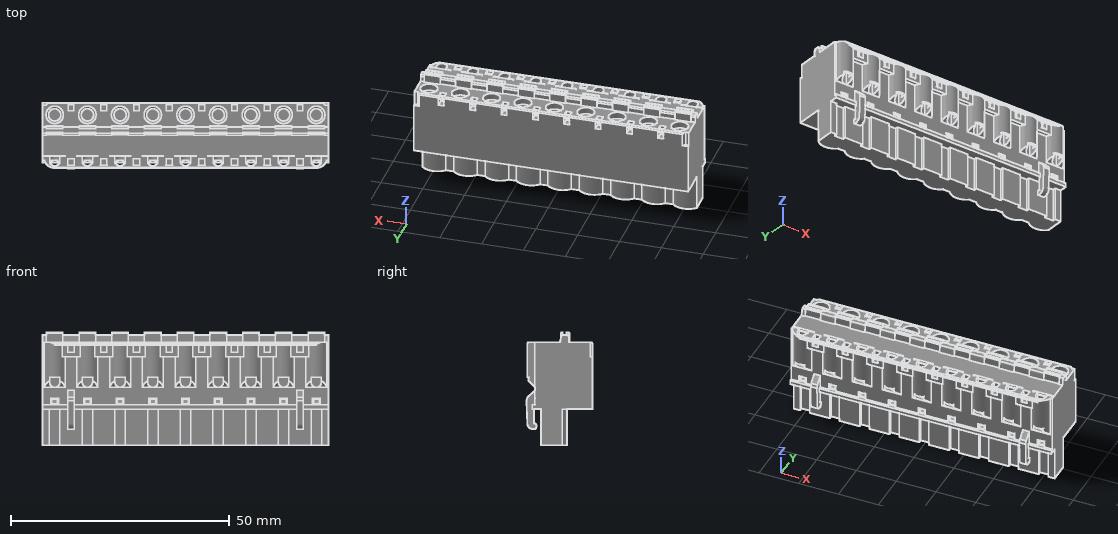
import cadquery as cq


LENGTH = 65.6
POLE_COUNT = 9
END_MARGIN = 2.8
PITCH = (LENGTH - 2 * END_MARGIN) / (POLE_COUNT - 1)
BODY_DEPTH = 13.25
BODY_BOTTOM = 8.3
BODY_TOP = 23.7

PLUG_BACK = 7.0
PLUG_FRONT = 11.9
SOCKET_BACK = 5.85
SOCKET_RADIUS = 3.95
KEYWAY_WIDTH = 2.4
KEYWAY_DEPTH = 0.8

RAIL_DEPTH = 0.6
RAIL_HEIGHT = 1.0

FRONT_DEPTH = 15.0
COLUMN_RADIUS = 2.5
COLUMN_BOTTOM = 13.3
LIP_BOTTOM = 22.95
EDGE_BEVEL_DEPTH = 0.2
EDGE_BEVEL_HEIGHT = 0.36
TAB_WIDTH = 4.45
TAB_BOTTOM = 20.35
TAB_SETBACK = 0.65

SLOT_WIDTH = 2.35
SLOT_BACK = 12.3
SLOT_END_DEPTH = 14.5
SLOT_MOUTH_TOP = 15.6
SLIT_LENGTH = 4.85
SLIT_WIDTH = 0.2
SLIT_DEPTH = 0.65

ENTRY_DIAMETER = 4.0
ENTRY_FLOOR_DIAMETER = 2.8
ENTRY_CENTER = 2.8
ENTRY_STRAIGHT_DEPTH = 1.65
ENTRY_TAPER_DEPTH = 1.3

POCKET_BOTTOM = 21.4
FRONT_POCKET_WIDTH = 1.45
FRONT_POCKET_START = 12.85
BACK_POCKET_WIDTH = 1.3
BACK_POCKET_START = 0.5
BACK_POCKET_SIZE = 1.3

RIDGE_TOP = 25.3
RIDGE_SHOULDER = 24.9
RIDGE_BACK = 5.5
RIDGE_FRONT = 7.55
RIDGE_BEVEL = 0.2
RIDGE_FRONT_SLOPE = 0.3
POST_TOP = 26.0
POST_WIDTH = 3.8
POST_BEVEL = 0.25
POST_BACK = 5.3
POST_FRONT = 7.35
POST_GROOVE_START = 6.05
POST_GROOVE_WIDTH = 0.8

TEST_WIDTH = 1.8
TEST_HEIGHT = 1.5
TEST_RIM = 0.25
TEST_RIM_DEPTH = 0.3

LATCH_WIDTH = 1.6
LATCH_DEPTH = 15.2
LATCH_SHOULDER_SETBACK = 0.25
LATCH_DRAFT = 0.2
TIP_BEND = 0.5
TIP_FLAT_START = 1.45
LATCH_THICKNESS = 1.8
TIP_FLAT_END = 2.05
HOOK_TOP_END = 2.1
HOOK_NOSE = 2.35
LATCH_ROOT_TOP = 12.6
LATCH_SHOULDER_TOP = 11.1
LATCH_SHOULDER_BOTTOM = 10.3
LATCH_TIP_START = 5.25
HOOK_TOP = 5.05
HOOK_NOSE_HEIGHT = 4.45
TIP_BEND_HEIGHT = 4.2
LATCH_TIP_BOTTOM = 3.75

NOTCH_LENGTH = 1.4
NOTCH_DEPTH = 0.6
NOTCH_BOTTOM = 20.35

POLES = [(i - (POLE_COUNT - 1) / 2) * PITCH for i in range(POLE_COUNT)]
GAPS = [x + PITCH / 2 for x in POLES[:-1]]
LATCHES = [GAPS[0], GAPS[-1]]


def block(x_center, width, depth_start, depth_end, bottom, top):
    """Box given by its X centre and width, its depths behind the back face and its heights."""
    size_y = depth_end - depth_start
    solid = cq.Workplane("XY").box(width, size_y, top - bottom, centered=(True, True, False))
    return solid.translate((x_center, -(depth_start + depth_end) / 2, bottom))


def side_prism(x_center, width, points):
    """Outline of (depth, height) points extruded along X."""
    outline = [(-depth, height) for depth, height in points]
    solid = cq.Workplane("YZ").polyline(outline).close().extrude(width / 2, both=True)
    return solid.translate((x_center, 0, 0))


def make_body():
    body = block(0, LENGTH, 0, BODY_DEPTH, BODY_BOTTOM, BODY_TOP)
    rail_front = BODY_DEPTH + RAIL_DEPTH
    return body.union(block(0, LENGTH, PLUG_FRONT, rail_front, BODY_BOTTOM, BODY_BOTTOM + RAIL_HEIGHT))


def make_plug():
    """Plug with a round-backed socket and a front keyway at each pole."""
    plug = block(0, LENGTH, PLUG_BACK, PLUG_FRONT, 0, BODY_BOTTOM)
    envelope = block(0, LENGTH, SOCKET_BACK, PLUG_FRONT, 0, BODY_BOTTOM)
    for x in POLES:
        socket = cq.Workplane("XY").circle(SOCKET_RADIUS).extrude(BODY_BOTTOM)
        socket = socket.translate((x, -SOCKET_BACK - SOCKET_RADIUS, 0))
        plug = plug.union(socket.intersect(envelope))
    for x in POLES:
        plug = plug.cut(block(x, KEYWAY_WIDTH, PLUG_FRONT - KEYWAY_DEPTH, PLUG_FRONT, 0, BODY_BOTTOM))
    return plug


def make_column(x):
    """Round-fronted column with a 45 degree underside."""
    height = BODY_TOP - COLUMN_BOTTOM
    column = cq.Workplane("XY").circle(COLUMN_RADIUS).extrude(height)
    column = column.translate((x, COLUMN_RADIUS - FRONT_DEPTH, COLUMN_BOTTOM))
    overhang = FRONT_DEPTH - BODY_DEPTH
    underside = [
        (BODY_DEPTH, COLUMN_BOTTOM),
        (FRONT_DEPTH, COLUMN_BOTTOM),
        (FRONT_DEPTH, COLUMN_BOTTOM + overhang),
    ]
    return column.cut(side_prism(x, 2 * COLUMN_RADIUS, underside))


def make_front():
    lip_length = POLES[-1] - POLES[0]
    front = block(0, lip_length, BODY_DEPTH, FRONT_DEPTH, LIP_BOTTOM, BODY_TOP)
    for x in POLES:
        front = front.union(make_column(x))
    for x in GAPS:
        front = front.union(block(x, TAB_WIDTH, BODY_DEPTH, FRONT_DEPTH - TAB_SETBACK, TAB_BOTTOM, BODY_TOP))
    return front


def make_edge_bevel(face_depth, inward):
    """Cutter for a long top edge; inward is the depth direction into the body."""
    return side_prism(0, LENGTH, [
        (face_depth, BODY_TOP),
        (face_depth + inward * EDGE_BEVEL_DEPTH, BODY_TOP),
        (face_depth, BODY_TOP - EDGE_BEVEL_HEIGHT),
    ])


def make_release_slot(x):
    """Round-fronted vertical slot with a round-bottomed mouth through the foot of the column."""
    half = SLOT_WIDTH / 2
    end_center = SLOT_END_DEPTH - half
    slot = block(x, SLOT_WIDTH, SLOT_BACK, end_center, SLOT_MOUTH_TOP, BODY_TOP)
    round_end = cq.Workplane("XY").circle(half).extrude(BODY_TOP - SLOT_MOUTH_TOP)
    front_half = block(0, SLOT_WIDTH, 0, half, 0, BODY_TOP)
    round_end = round_end.intersect(front_half).translate((x, -end_center, SLOT_MOUTH_TOP))
    mouth = (
        cq.Workplane("XZ", origin=(x, -SLOT_BACK, 0))
        .moveTo(-half, SLOT_MOUTH_TOP)
        .lineTo(-half, COLUMN_BOTTOM + half)
        .threePointArc((0, COLUMN_BOTTOM), (half, COLUMN_BOTTOM + half))
        .lineTo(half, SLOT_MOUTH_TOP)
        .close()
        .extrude(FRONT_DEPTH - SLOT_BACK)
    )
    slit = block(x, SLIT_LENGTH, SLOT_BACK - SLIT_WIDTH, SLOT_BACK, BODY_TOP - SLIT_DEPTH, BODY_TOP)
    return slot.union(round_end).union(mouth).union(slit)


def make_wire_entry(x):
    """Round hole, straight at first and then tapered to a flat floor."""
    radius = ENTRY_DIAMETER / 2
    floor_radius = ENTRY_FLOOR_DIAMETER / 2
    floor = -ENTRY_STRAIGHT_DEPTH - ENTRY_TAPER_DEPTH
    half_section = [(0, 0), (radius, 0), (radius, -ENTRY_STRAIGHT_DEPTH), (floor_radius, floor), (0, floor)]
    entry = cq.Workplane("XZ").polyline(half_section).close().revolve(360, (0, 0), (0, 1))
    return entry.translate((x, -ENTRY_CENTER, BODY_TOP))


def make_front_pocket(x):
    """Square pocket behind the lip that opens through the tab face below it."""
    front_end = FRONT_DEPTH - TAB_SETBACK
    return block(x, FRONT_POCKET_WIDTH, FRONT_POCKET_START, front_end, POCKET_BOTTOM, BODY_TOP)


def make_back_pocket(x):
    """Square pocket with a window through the back face."""
    back_end = BACK_POCKET_START + BACK_POCKET_SIZE
    pocket = block(x, BACK_POCKET_WIDTH, BACK_POCKET_START, back_end, POCKET_BOTTOM, BODY_TOP)
    window = block(x, BACK_POCKET_WIDTH, 0, BACK_POCKET_START, POCKET_BOTTOM, LIP_BOTTOM)
    return pocket.union(window)


def make_test_opening(x):
    """Shallow rectangular recess with a narrower pocket whose floor rises inward at 45 degrees."""
    bottom = BODY_BOTTOM + RAIL_HEIGHT
    recess_back = BODY_DEPTH - TEST_RIM_DEPTH
    recess = block(x, TEST_WIDTH, recess_back, BODY_DEPTH, bottom, bottom + TEST_HEIGHT)
    pocket_height = TEST_HEIGHT - 2 * TEST_RIM
    pocket_bottom = bottom + TEST_RIM
    pocket = side_prism(x, TEST_WIDTH - 2 * TEST_RIM, [
        (recess_back, pocket_bottom),
        (recess_back, pocket_bottom + pocket_height),
        (recess_back - pocket_height, pocket_bottom + pocket_height),
    ])
    return recess.union(pocket)


def make_ridge():
    """Bevelled ridge along the top, interrupted by a grooved post over each pole."""
    ridge = side_prism(0, LENGTH, [
        (RIDGE_BACK, BODY_TOP),
        (RIDGE_BACK, RIDGE_SHOULDER),
        (RIDGE_BACK + RIDGE_BEVEL, RIDGE_TOP),
        (RIDGE_FRONT - RIDGE_FRONT_SLOPE - RIDGE_BEVEL, RIDGE_TOP),
        (RIDGE_FRONT - RIDGE_FRONT_SLOPE, RIDGE_SHOULDER),
        (RIDGE_FRONT, BODY_TOP),
    ])
    groove_end = POST_GROOVE_START + POST_GROOVE_WIDTH
    for x in POLES:
        ridge = ridge.cut(block(x, POST_WIDTH, RIDGE_BACK, RIDGE_FRONT, BODY_TOP, RIDGE_TOP))
        post = block(x, POST_WIDTH, POST_BACK, POST_FRONT, BODY_TOP, POST_TOP)
        post = post.edges("|X and >Z").chamfer(POST_BEVEL)
        post = post.cut(block(x, POST_WIDTH, POST_GROOVE_START, groove_end, RIDGE_TOP, POST_TOP))
        ridge = ridge.union(post)
    return ridge


def make_latch(x):
    """Hook that leaves the body at a slope, hangs below the rail and ends in a rounded tip."""
    front = -LATCH_DEPTH
    outer_bend = (front + TIP_BEND, TIP_BEND_HEIGHT)
    latch = (
        cq.Workplane("YZ")
        .moveTo(-BODY_DEPTH, LATCH_ROOT_TOP)
        .lineTo(front + LATCH_SHOULDER_SETBACK, LATCH_SHOULDER_TOP)
        .lineTo(front, LATCH_SHOULDER_BOTTOM)
        .lineTo(front + LATCH_DRAFT, LATCH_TIP_START)
        .threePointArc(outer_bend, (front + TIP_FLAT_START, LATCH_TIP_BOTTOM))
        .lineTo(front + TIP_FLAT_END, LATCH_TIP_BOTTOM)
        .threePointArc((front + HOOK_NOSE, HOOK_NOSE_HEIGHT), (front + HOOK_TOP_END, HOOK_TOP))
        .lineTo(front + LATCH_THICKNESS, HOOK_TOP)
        .lineTo(front + LATCH_THICKNESS, BODY_BOTTOM)
        .lineTo(-BODY_DEPTH, BODY_BOTTOM)
        .close()
        .extrude(LATCH_WIDTH / 2, both=True)
    )
    return latch.translate((x, 0, 0))


def make_back_notch(side):
    """Corner notch in the upper back; side is -1 or 1 along X."""
    end = side * LENGTH / 2
    notch = (
        cq.Workplane("XY")
        .polyline([
            (end, 0),
            (end - side * NOTCH_LENGTH, 0),
            (end - side * (NOTCH_LENGTH - NOTCH_DEPTH), -NOTCH_DEPTH),
            (end, -NOTCH_DEPTH),
        ])
        .close()
        .extrude(BODY_TOP - NOTCH_BOTTOM)
    )
    return notch.translate((0, 0, NOTCH_BOTTOM))


def join_all(base, parts):
    return cq.Workplane(base.val().fuse(*[part.val() for part in parts])).clean()


def cut_all(base, cutters):
    return cq.Workplane(base.val().cut(*[cutter.val() for cutter in cutters])).clean()


cutters = [make_edge_bevel(FRONT_DEPTH, -1), make_edge_bevel(0, 1)]
cutters += [make_release_slot(x) for x in POLES]
cutters += [make_wire_entry(x) for x in POLES]
cutters += [make_test_opening(x) for x in POLES]
cutters += [make_front_pocket(x) for x in GAPS]
cutters += [make_back_pocket(x) for x in GAPS]
cutters += [make_back_notch(side) for side in (-1, 1)]

block_body = join_all(make_body(), [make_plug(), make_front()])
block_body = cut_all(block_body, cutters)
latches = [make_latch(x) for x in LATCHES]
result = cq.Workplane(join_all(block_body, [make_ridge()] + latches).solids().val())